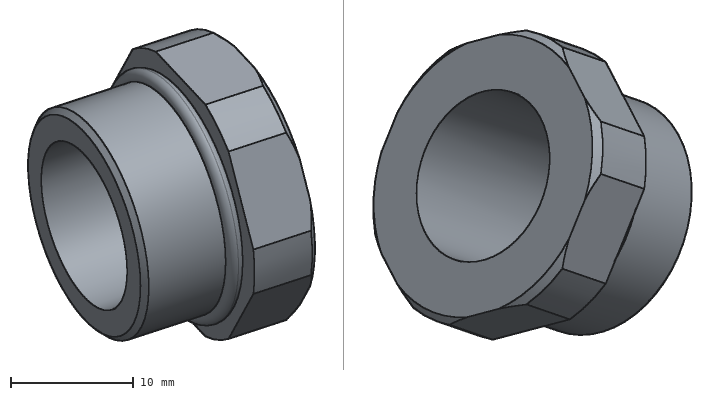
import math

import cadquery as cq

length = 15.0
head_length = 6.0
head_diameter = 24.95
across_flats = 23.5
head_chamfer = 0.6
spigot_diameter = 20.0
spigot_chamfer = 0.5
bore_diameter = 14.48
ring_diameter = 22.0
ring_thickness = 1.4

across_corners = across_flats / math.cos(math.pi / 6)
head_front = length - head_length
ring_centre_radius = (ring_diameter - ring_thickness) / 2
ring_centre_y = head_front - ring_thickness / 2


def cylinder(diameter, start, end):
    """Solid cylinder about the Y axis between two Y positions."""
    return (
        cq.Workplane("XZ", origin=(0, end, 0))
        .circle(diameter / 2)
        .extrude(end - start)
    )


def make_head():
    """Hexagon with flats facing +Z and -Z, its corners turned round and chamfered at the back."""
    hexagon = (
        cq.Workplane("XZ", origin=(0, length, 0))
        .polygon(6, across_corners)
        .extrude(head_length)
    )
    turned_blank = cylinder(head_diameter, head_front, length).faces(">Y").chamfer(head_chamfer)
    return hexagon.intersect(turned_blank)


def make_spigot():
    """Plain round spigot with a chamfered front end, running into the head."""
    return cylinder(spigot_diameter, 0, length).faces("<Y").chamfer(spigot_chamfer)


def make_ring():
    """Sealing ring against the head, with the gap at its inner back edge filled."""
    torus = (
        cq.Workplane("XY")
        .center(ring_centre_radius, ring_centre_y)
        .circle(ring_thickness / 2)
        .revolve(360, (-ring_centre_radius, 0), (-ring_centre_radius, 1))
    )
    filler = cylinder(2 * ring_centre_radius, ring_centre_y, head_front)
    return torus.union(filler)


bore = cylinder(bore_diameter, 0, length)
result = make_head().union(make_spigot()).union(make_ring()).cut(bore)